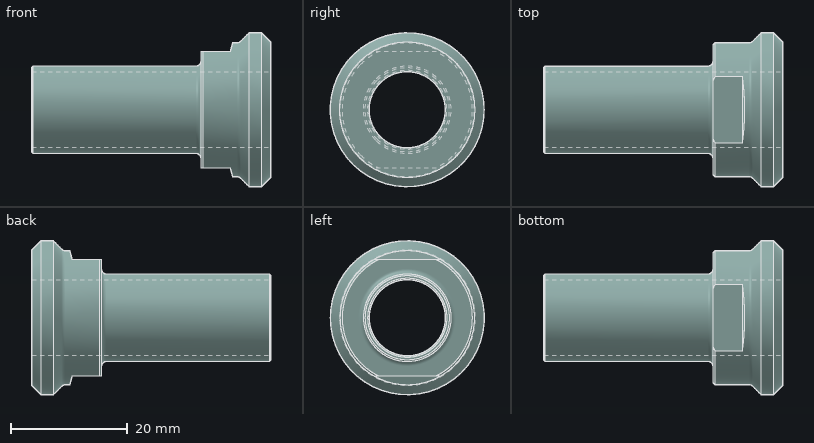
import cadquery as cq
import math

length = 41.0

tube_radius = 15.0 / 2
bore_radius = 13.0 / 2
tube_edge_chamfer = 0.3

collar_start = 29.0
collar_radius = 23.0 / 2
collar_chamfer = 0.35
tube_fillet = 0.8
flat_spacing = 20.0
flat_end = 34.05
flat_runout_angle = 15.0

flange_radius = 26.4 / 2
flange_rim_start = 37.25
flange_end_chamfer = 1.6
flange_root_fillet = 0.8


def arc_middle(center_x, center_r, radius, angle):
    """Point on an arc in the axial plane; the angle is measured from +X in degrees."""
    turn = math.radians(angle)
    return center_x + radius * math.cos(turn), center_r + radius * math.sin(turn)


def turned_body():
    """Hollow body of revolution about X, including all its blends."""
    cone_foot = flange_rim_start - (flange_radius - collar_radius)
    root_tangent = flange_root_fillet * math.tan(math.radians(22.5))
    root_start = cone_foot - root_tangent
    root_step = root_tangent * math.cos(math.radians(45))
    tube_end = collar_start - tube_fillet

    profile = (
        cq.Workplane("XY")
        .moveTo(tube_edge_chamfer, bore_radius)
        .lineTo(0, bore_radius + tube_edge_chamfer)
        .lineTo(0, tube_radius - tube_edge_chamfer)
        .lineTo(tube_edge_chamfer, tube_radius)
        .lineTo(tube_end, tube_radius)
        .threePointArc(
            arc_middle(tube_end, tube_radius + tube_fillet, tube_fillet, -45),
            (collar_start, tube_radius + tube_fillet),
        )
        .lineTo(collar_start, collar_radius - collar_chamfer)
        .lineTo(collar_start + collar_chamfer, collar_radius)
        .lineTo(root_start, collar_radius)
        .threePointArc(
            arc_middle(root_start, collar_radius + flange_root_fillet, flange_root_fillet, -67.5),
            (cone_foot + root_step, collar_radius + root_step),
        )
        .lineTo(flange_rim_start, flange_radius)
        .lineTo(length - flange_end_chamfer, flange_radius)
        .lineTo(length, flange_radius - flange_end_chamfer)
        .lineTo(length, bore_radius)
        .close()
    )
    return profile.revolve(360, (0, 0, 0), (1, 0, 0))


def flat_cutter():
    """Prism that removes the upper wrench flat, with a sloping end wall."""
    flat_height = flat_spacing / 2
    cut_depth = collar_radius - flat_height
    runout = cut_depth * math.tan(math.radians(flat_runout_angle))
    return (
        cq.Workplane("XZ")
        .moveTo(collar_start, flat_height)
        .lineTo(flat_end, flat_height)
        .lineTo(flat_end + runout, collar_radius)
        .lineTo(collar_start, collar_radius)
        .close()
        .extrude(collar_radius, both=True)
    )


upper_flat = flat_cutter()
lower_flat = upper_flat.mirror("XY")
result = turned_body().cut(upper_flat).cut(lower_flat)